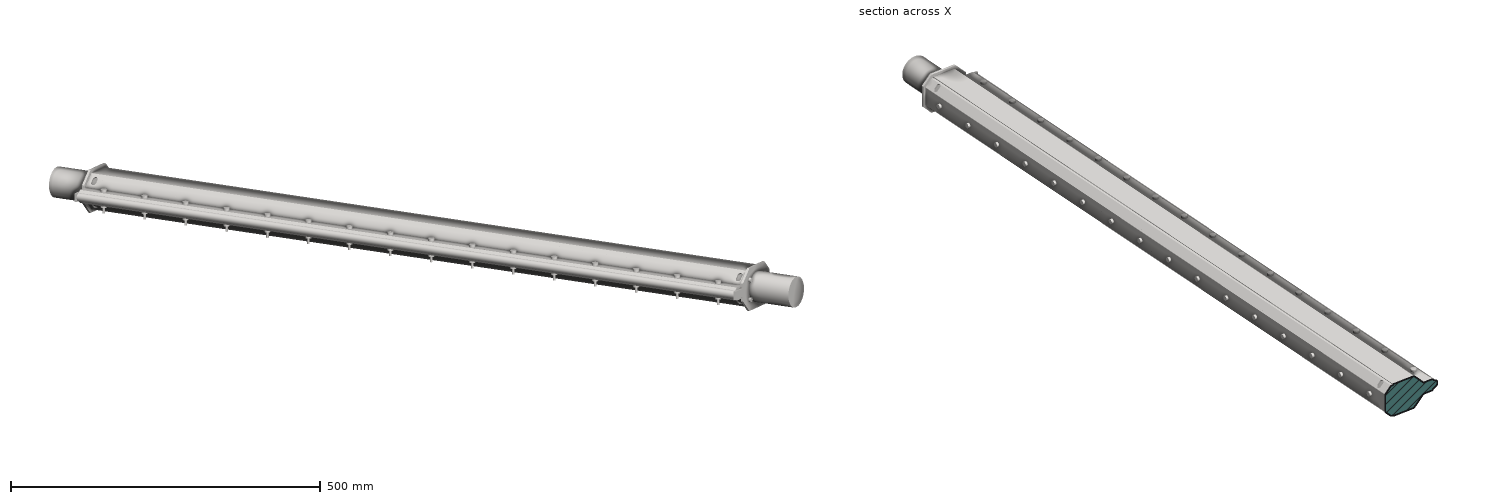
import cadquery as cq

length = 1376.0
roller_diameter = 51.0

end_setback = 73.0
plate_thickness = 4.0
plate_half_height = 36.0
plate_flat_half_width = 25.0
plate_back_y = 41.0
plate_shoulder_y = -45.0

body_half_height = 30.0
body_front_corner_y = -22.0
cover_half_height = 29.0
cover_back_y = 37.0
cover_back_corner_y = 25.0
cover_edge_y = 20.0

lip_half_height = 11.0
lip_corner_y = -59.0
bead_radius = 7.0
nose_y = -70.0
bead_y = nose_y + bead_radius

bolt_count = 16
bolt_row_length = 1144.0
bolt_pitch = bolt_row_length / (bolt_count - 1)
lip_bolt_y = -51.0
head_diameter = 10.2
head_height = 4.0
shank_diameter = 4.0
shank_end_z = -25.0
cover_screw_diameter = 8.5

plate_screw_y = 25.0
plate_screw_z = 17.0
plate_screw_diameter = 7.6
plate_screw_height = 4.0
slot_width = 9.0
slot_length = 15.0
slot_depth = 3.0
front_slot_inset = 88.0
front_slot_y = -32.0
back_slot_inset = 99.0
back_slot_y = 30.0

embed = 2.0

plate_outer_x = length / 2 - end_setback
plate_inner_x = plate_outer_x - plate_thickness
bolt_xs = [(i - (bolt_count - 1) / 2) * bolt_pitch for i in range(bolt_count)]


def prism(upper_outline, half_length):
    """Extrude a Y-Z outline, given by its upper half, symmetrically along X."""
    lower_outline = [(y, -z) for y, z in reversed(upper_outline)]
    return (
        cq.Workplane("YZ")
        .polyline(upper_outline + lower_outline)
        .close()
        .extrude(half_length, both=True)
    )


def pin(start, direction, diameter, height):
    """Cylinder that begins at a point and runs along a direction."""
    return cq.Workplane(
        cq.Solid.makeCylinder(diameter / 2, height, cq.Vector(*start), cq.Vector(*direction))
    )


def make_roller():
    return cq.Workplane("YZ").circle(roller_diameter / 2).extrude(length / 2, both=True)


def make_end_plates():
    outline = [
        (plate_back_y, plate_half_height - (plate_back_y - plate_flat_half_width)),
        (plate_flat_half_width, plate_half_height),
        (-plate_flat_half_width, plate_half_height),
        (plate_shoulder_y, plate_half_height + plate_shoulder_y + plate_flat_half_width),
        (plate_shoulder_y, bead_radius),
        (nose_y, bead_radius),
    ]
    plates = prism(outline, plate_outer_x)
    between = cq.Workplane("XY").box(2 * plate_inner_x, length, length)
    return plates.cut(between)


def make_housing():
    lip_start_y = body_front_corner_y - (body_half_height - lip_half_height)
    lip_end_y = lip_corner_y - (lip_half_height - bead_radius)
    body = prism(
        [
            (cover_edge_y, body_half_height),
            (body_front_corner_y, body_half_height),
            (lip_start_y, lip_half_height),
            (lip_corner_y, lip_half_height),
            (lip_end_y, bead_radius),
        ],
        plate_inner_x,
    )
    cover = prism(
        [
            (cover_back_y, cover_half_height - (cover_back_y - cover_back_corner_y)),
            (cover_back_corner_y, cover_half_height),
            (cover_edge_y, cover_half_height),
        ],
        plate_inner_x,
    )
    return body.union(cover)


def make_bead():
    return (
        cq.Workplane("YZ")
        .center(bead_y, 0)
        .circle(bead_radius)
        .extrude(plate_inner_x, both=True)
    )


def make_row_fasteners():
    fasteners = []
    for x in bolt_xs:
        for side in (-1, 1):
            head_start = (x, lip_bolt_y, side * (lip_half_height - embed))
            fasteners.append(pin(head_start, (0, 0, side), head_diameter, head_height + embed))
        shank_start = (x, lip_bolt_y, 0)
        fasteners.append(pin(shank_start, (0, 0, -1), shank_diameter, -shank_end_z))
        cover_start = (x, cover_back_y - embed, 0)
        cover_screw_height = plate_back_y - cover_back_y + embed
        fasteners.append(pin(cover_start, (0, 1, 0), cover_screw_diameter, cover_screw_height))
    return fasteners


def make_plate_screws():
    screws = []
    for end in (-1, 1):
        for side_y in (-1, 1):
            for side_z in (-1, 1):
                start = (end * (plate_outer_x - embed), side_y * plate_screw_y, side_z * plate_screw_z)
                screws.append(pin(start, (end, 0, 0), plate_screw_diameter, plate_screw_height + embed))
    return screws


def slope_slot(x, y, z, side_y, side_z):
    """Shallow slot cut square into a 45 degree slope, centred on the point (x, y, z)."""
    slope = cq.Plane(origin=(x, y, z), xDir=(0, side_y, -side_z), normal=(0, side_y, side_z))
    return cq.Workplane(slope).slot2D(slot_length, slot_width).extrude(-slot_depth)


def make_slots():
    front_z = body_half_height - (body_front_corner_y - front_slot_y)
    back_z = cover_half_height - (back_slot_y - cover_back_corner_y)
    front_x = length / 2 - front_slot_inset
    back_x = length / 2 - back_slot_inset
    slots = []
    for end in (-1, 1):
        for side_z in (-1, 1):
            slots.append(slope_slot(end * front_x, front_slot_y, side_z * front_z, -1, side_z))
            slots.append(slope_slot(end * back_x, back_slot_y, side_z * back_z, 1, side_z))
    return slots


result = make_roller().union(make_end_plates()).union(make_housing()).union(make_bead())
for fastener in make_row_fasteners() + make_plate_screws():
    result = result.union(fastener)
for slot in make_slots():
    result = result.cut(slot)